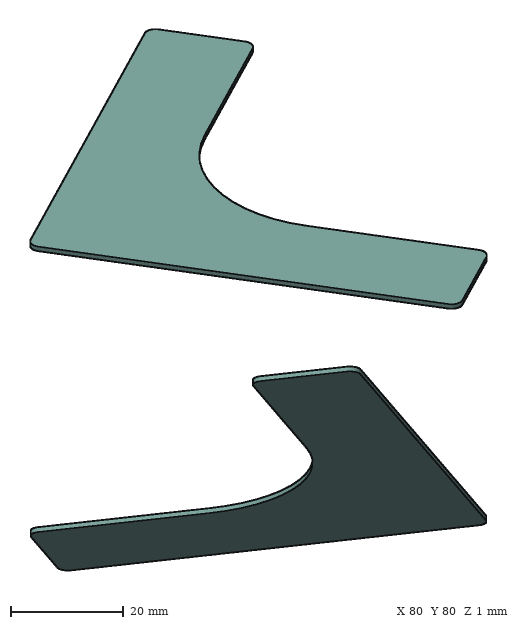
import cadquery as cq

side_length = 80.0
arm_width = 20.0
thickness = 1.0
corner_radius = 2.0
inner_radius = 26.0

outline = [
    (0, 0),
    (side_length, 0),
    (side_length, arm_width),
    (arm_width, arm_width),
    (arm_width, side_length),
    (0, side_length),
]
plate = cq.Workplane("XY").polyline(outline).close().extrude(thickness)

inner_corner = cq.selectors.NearestToPointSelector((arm_width, arm_width, thickness / 2))
plate = plate.edges("|Z").edges(inner_corner).fillet(inner_radius)

for x, y in outline:
    if (x, y) != (arm_width, arm_width):
        outer_corner = cq.selectors.NearestToPointSelector((x, y, thickness / 2))
        plate = plate.edges("|Z").edges(outer_corner).fillet(corner_radius)

result = plate